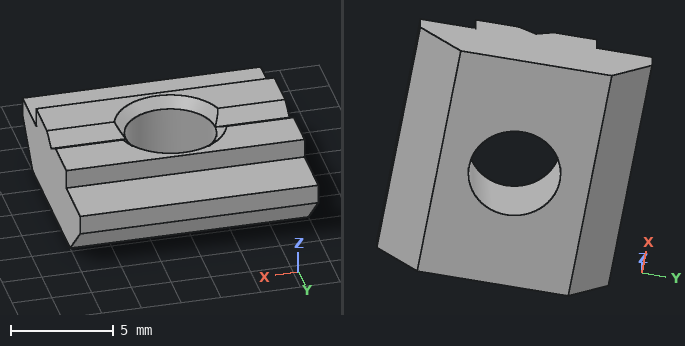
import cadquery as cq
import math

length = 12.0
width = 11.5
height = 4.0

rib_width = 6.0
rib_height = 1.0
bevel = 2.0
groove_depth = 0.5
groove_angle = 120.0

hole_diameter = 4.5
countersink_diameter = 5.5
countersink_angle = 90.0

shoulder_z = height - rib_height
groove_half_width = groove_depth * math.tan(math.radians(groove_angle / 2))


def make_body():
    """Extrude the slot-nut cross-section along X, with its base on Z = 0."""
    right_half = [
        (width / 2 - bevel, 0),
        (width / 2, bevel),
        (width / 2, shoulder_z),
        (rib_width / 2, shoulder_z),
        (rib_width / 2, height),
        (groove_half_width, height),
    ]
    groove_bottom = (0, height - groove_depth)
    left_half = [(-y, z) for y, z in reversed(right_half)]
    outline = right_half + [groove_bottom] + left_half
    return cq.Workplane("YZ").polyline(outline).close().extrude(length / 2, both=True)


def cut_countersunk_hole(body):
    """Cut the vertical through hole, countersunk from the rib top."""
    return (
        body.faces(">Z")
        .workplane(origin=(0, 0, height))
        .cskHole(hole_diameter, countersink_diameter, countersink_angle)
    )


result = cut_countersunk_hole(make_body())